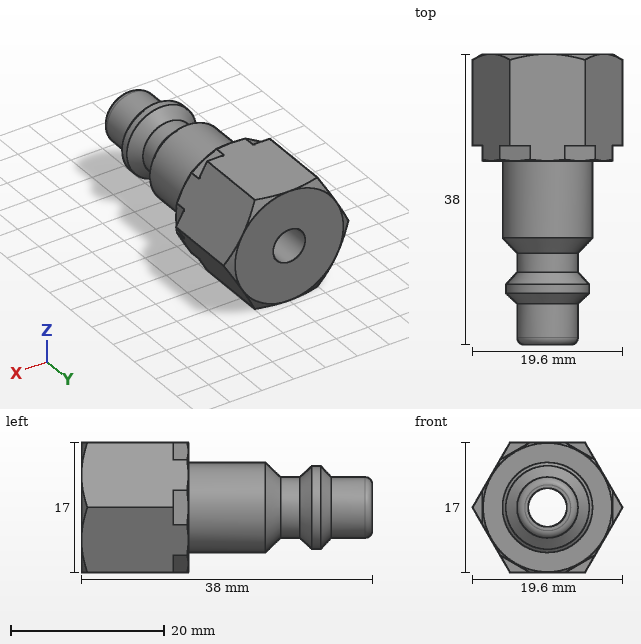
import cadquery as cq
import math

total_length = 38.0
across_flats = 17.0
stem_diameter = 11.78
collar_diameter = 10.9
neck_diameter = 7.98
bore_diameter = 5.0
tip_fillet = 1.0

collar_front = 5.4
collar_rim_front = 6.75
collar_rim_back = 7.9
collar_back = 9.5
shoulder_front = 12.0
shoulder_back = 14.0
nut_front = 24.0

notch_depth = 2.0
chamfer_angle = 30.0
front_chamfer_inset = 0.08

nut_length = total_length - nut_front
corner_radius = across_flats / 2 / math.cos(math.radians(30))
chamfer_slope = math.tan(math.radians(chamfer_angle))


def hex_prism(y_start, length, rotation):
    """Hexagonal prism along +Y; zero rotation puts corners on the X axis."""
    return (
        cq.Workplane("XZ", origin=(0, y_start, 0))
        .polygon(6, 2 * corner_radius)
        .extrude(-length)
        .rotate((0, 0, 0), (0, 1, 0), rotation)
    )


def revolve_about_y(points):
    """Solid of revolution from (radius, Y) points."""
    return cq.Workplane("XY").polyline(points).close().revolve(360, (0, 0), (0, 1))


def make_nut():
    hexagon = hex_prism(nut_front, nut_length, 0)

    notched_end = hex_prism(nut_front, notch_depth, 30).intersect(hexagon)
    main_hex = hex_prism(nut_front + notch_depth, nut_length - notch_depth, 0)

    back_radius = across_flats / 2
    front_radius = back_radius - front_chamfer_inset
    envelope = revolve_about_y([
        (0, nut_front),
        (front_radius, nut_front),
        (corner_radius, nut_front + (corner_radius - front_radius) * chamfer_slope),
        (corner_radius, total_length - (corner_radius - back_radius) * chamfer_slope),
        (back_radius, total_length),
        (0, total_length),
    ])
    return main_hex.union(notched_end).intersect(envelope)


def make_plug():
    neck_radius = neck_diameter / 2
    collar_radius = collar_diameter / 2
    stem_radius = stem_diameter / 2
    plug = revolve_about_y([
        (0, 0),
        (neck_radius, 0),
        (neck_radius, collar_front),
        (collar_radius, collar_rim_front),
        (collar_radius, collar_rim_back),
        (neck_radius, collar_back),
        (neck_radius, shoulder_front),
        (stem_radius, shoulder_back),
        (stem_radius, nut_front + notch_depth),
        (0, nut_front + notch_depth),
    ])
    return plug.faces("<Y").edges().fillet(tip_fillet)


bore = cq.Workplane("XZ").circle(bore_diameter / 2).extrude(-total_length)

result = make_nut().union(make_plug()).cut(bore)